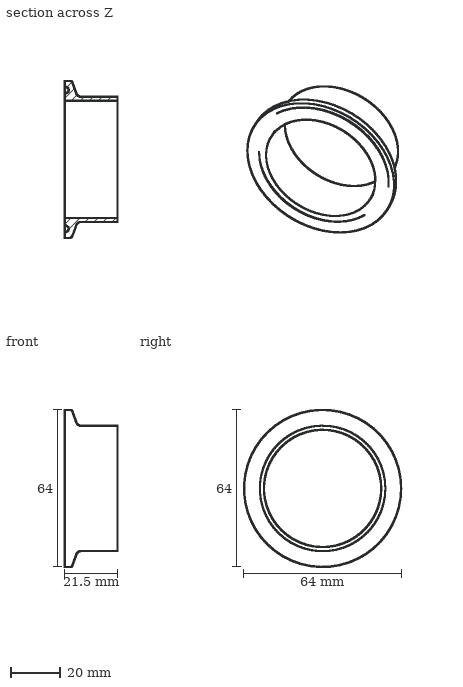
import cadquery as cq
import math

length = 21.5
flange_radius = 32.0
tube_outer_radius = 25.55
tube_inner_radius = 23.8

rim_width = 2.4
edge_round = 0.8
blend_radius = 2.0
slope = math.radians(20)

groove_outer_radius = 30.2
groove_inner_radius = 26.3
groove_middle = (groove_outer_radius + groove_inner_radius) / 2
lip_round = 0.8
floor_round = 1.2


def on_circle(center, radius, angle):
    """Point on a circle at an angle from the axial direction."""
    return (center[0] + radius * math.cos(angle), center[1] + radius * math.sin(angle))


def revolve(profile):
    return profile.close().revolve(360, (0, 0, 0), (1, 0, 0))


def make_body():
    middle_angle = (slope + math.pi / 2) / 2
    edge_center = (rim_width, flange_radius - edge_round)
    edge_middle = on_circle(edge_center, edge_round, middle_angle)
    edge_end = on_circle(edge_center, edge_round, slope)

    blend_start_radius = tube_outer_radius + blend_radius * (1 - math.sin(slope))
    blend_start_axial = edge_end[0] + (edge_end[1] - blend_start_radius) * math.tan(slope)
    blend_center = (
        blend_start_axial + blend_radius * math.cos(slope),
        tube_outer_radius + blend_radius,
    )
    blend_middle = on_circle(blend_center, blend_radius, math.pi + middle_angle)

    return revolve(
        cq.Workplane("XY")
        .moveTo(0, tube_inner_radius)
        .lineTo(0, flange_radius)
        .lineTo(rim_width, flange_radius)
        .threePointArc(edge_middle, edge_end)
        .lineTo(blend_start_axial, blend_start_radius)
        .threePointArc(blend_middle, (blend_center[0], tube_outer_radius))
        .lineTo(length, tube_outer_radius)
        .lineTo(length, tube_inner_radius)
    )


def make_groove():
    lip_center = (lip_round, groove_inner_radius)
    lip_sweep = math.pi / 2 - slope
    lip_middle = on_circle(lip_center, lip_round, math.pi - lip_sweep / 2)
    lip_end = on_circle(lip_center, lip_round, math.pi - lip_sweep)

    wall_end_radius = groove_middle - floor_round * math.cos(slope)
    wall_end = (lip_end[0] + (wall_end_radius - lip_end[1]) / math.tan(slope), wall_end_radius)
    depth = wall_end[0] + floor_round * (1 - math.sin(slope))

    def mirrored(point):
        return (point[0], 2 * groove_middle - point[1])

    return revolve(
        cq.Workplane("XY")
        .moveTo(0, groove_inner_radius)
        .threePointArc(lip_middle, lip_end)
        .lineTo(*wall_end)
        .threePointArc((depth, groove_middle), mirrored(wall_end))
        .lineTo(*mirrored(lip_end))
        .threePointArc(mirrored(lip_middle), (0, groove_outer_radius))
    )


result = make_body().cut(make_groove())